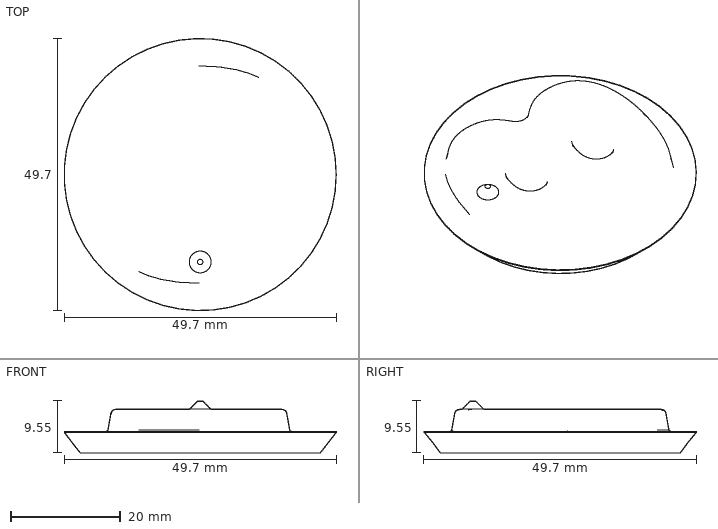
import cadquery as cq
import math

disc_radius = 24.85
disc_bottom_radius = 21.9
disc_height = 4.0
rim_height = 0.2

eight_x = -0.25
eight_height = 4.05
half_width = 16.65
half_height = 19.9
lobe_y = 8.85
draft_angle = 10.0
top_fillet = 1.0
foot_fillet = 0.3
edge_tolerance = 0.025

waist_radius = 1.9
waist_center_x = 14.4
waist_angle = math.radians(48.0)

crown_roundness = 0.59
side_roundness = 0.68
lower_side_pull = 3.5
waist_pull = 2.5

opening_y = 7.3
opening_half_width = 3.85
opening_half_height = 2.85
opening_roundness = 0.62

nub_y = -15.95
nub_base_radius = 2.0
nub_tip_radius = 0.5
nub_height = 1.5

eight_top = disc_height + eight_height
draft_inset = eight_height * math.tan(math.radians(draft_angle))


def mirrored(points, sign_x, sign_y):
    return [(sign_x * x, sign_y * y) for x, y in points]


def make_disc():
    profile = [
        (0, 0),
        (disc_bottom_radius, 0),
        (disc_radius, disc_height - rim_height),
        (disc_radius, disc_height),
        (0, disc_height),
    ]
    return cq.Workplane("XZ").polyline(profile).close().revolve(360, (0, 0), (0, 1))


def eight_outline(inset):
    """Closed outline of the eight at its foot, moved inward by the inset."""
    width = half_width - inset
    height = half_height - inset
    crown_rise = height - lobe_y
    radius = waist_radius + inset
    waist_x = waist_center_x - radius
    waist_end_x = waist_center_x - radius * math.cos(waist_angle)
    waist_end_y = radius * math.sin(waist_angle)
    crown = [
        (0, height),
        (width * crown_roundness, height),
        (width, lobe_y + crown_rise * side_roundness),
        (width, lobe_y),
    ]
    flank = [
        (width, lobe_y),
        (width, lobe_y - lower_side_pull),
        (
            waist_end_x + waist_pull * math.sin(waist_angle),
            waist_end_y + waist_pull * math.cos(waist_angle),
        ),
        (waist_end_x, waist_end_y),
    ]
    outline = cq.Workplane("XY").moveTo(0, height)
    for side in (1, -1):
        outline = outline.bezier(mirrored(crown, side, side)[1:], includeCurrent=True)
        outline = outline.bezier(mirrored(flank, side, side)[1:], includeCurrent=True)
        outline = outline.threePointArc((side * waist_x, 0), (side * waist_end_x, -side * waist_end_y))
        outline = outline.bezier(mirrored(flank[::-1], side, -side)[1:], includeCurrent=True)
        outline = outline.bezier(mirrored(crown[::-1], side, -side)[1:], includeCurrent=True)
    return outline.close().val()


def opening_outline(outset):
    """Closed outline of an opening at the disc surface, moved outward by the outset."""
    width = opening_half_width + outset
    height = opening_half_height + outset
    quarter = [
        (width, 0),
        (width, height * opening_roundness),
        (width * opening_roundness, height),
        (0, height),
    ]
    outline = cq.Workplane("XY").moveTo(width, 0)
    for side in (1, -1):
        outline = outline.bezier(mirrored(quarter, side, side)[1:], includeCurrent=True)
        outline = outline.bezier(mirrored(quarter[::-1], -side, side)[1:], includeCurrent=True)
    return outline.close().val()


def drafted_block(outline, center_y):
    """Solid with sloping walls from the disc surface to the top of the eight."""
    lower = outline(0).translate(cq.Vector(eight_x, center_y, disc_height))
    upper = outline(draft_inset).translate(cq.Vector(eight_x, center_y, eight_top))
    return cq.Workplane(cq.Solid.makeLoft([lower, upper], True))


def make_eight():
    eight = drafted_block(eight_outline, 0)
    for center_y in (opening_y, -opening_y):
        eight = eight.cut(drafted_block(opening_outline, center_y))
    return eight.faces(">Z").edges().fillet(top_fillet)


def make_nub():
    nub = cq.Solid.makeCone(nub_base_radius, nub_tip_radius, nub_height)
    return cq.Workplane(nub.translate(cq.Vector(0, nub_y, eight_top)))


def is_foot_edge(edge):
    box = edge.BoundingBox()
    is_flat = box.zmax - box.zmin < edge_tolerance
    at_disc_top = abs(edge.Center().z - disc_height) < edge_tolerance
    inside_rim = max(box.xmax, -box.xmin) < disc_radius - foot_fillet
    return is_flat and at_disc_top and inside_rim


body = make_disc().union(make_eight())
foot_edges = [edge for edge in body.edges().vals() if is_foot_edge(edge)]
body = body.newObject(foot_edges).fillet(foot_fillet)
result = body.union(make_nub())